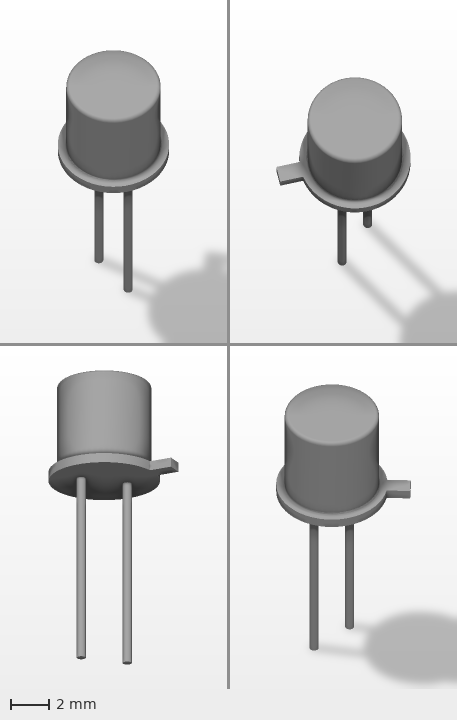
import cadquery as cq

total_height = 15.33

lead_diameter = 0.48
lead_length = 10.0
lead_spacing = 2.55

flange_diameter = 5.84
flange_thickness = 0.5
can_diameter = 4.95
can_top_fillet = 0.2
can_foot_fillet = 0.1

tab_width = 0.87
tab_reach = 4.12
tab_angle = 135.0

can_height = total_height - lead_length - flange_thickness
foot_radius = can_diameter / 2 + can_foot_fillet


def make_tab():
    """Radial bar, as thick as the flange, with a concave inner end around the can foot."""
    base = cq.Workplane("XY").workplane(offset=lead_length)
    bar = (
        base.center(tab_reach / 2, 0)
        .rect(tab_reach, tab_width)
        .extrude(flange_thickness)
        .rotate((0, 0, 0), (0, 0, 1), tab_angle)
    )
    core = cq.Workplane("XY").workplane(offset=lead_length).circle(foot_radius).extrude(flange_thickness)
    return bar.cut(core)


def make_housing(tab):
    """Flange and can in one piece, with rounded top and foot and a slot that holds the tab."""
    flange = (
        cq.Workplane("XY")
        .workplane(offset=lead_length)
        .circle(flange_diameter / 2)
        .extrude(flange_thickness)
    )
    housing = flange.faces(">Z").workplane().circle(can_diameter / 2).extrude(can_height)
    housing = housing.faces(">Z").edges().fillet(can_top_fillet)
    foot_edge = cq.selectors.RadiusNthSelector(0)
    housing = housing.faces(">Z[-2]").edges(foot_edge).fillet(can_foot_fillet)
    return housing.cut(tab)


def make_lead(x):
    """Straight round lead ending at the underside of the flange."""
    return cq.Workplane("XY").center(x, 0).circle(lead_diameter / 2).extrude(lead_length)


tab = make_tab()
housing = make_housing(tab)
leads = [make_lead(side * lead_spacing / 2) for side in (-1, 1)]

result = cq.Compound.makeCompound([housing.val(), tab.val(), *[lead.val() for lead in leads]])